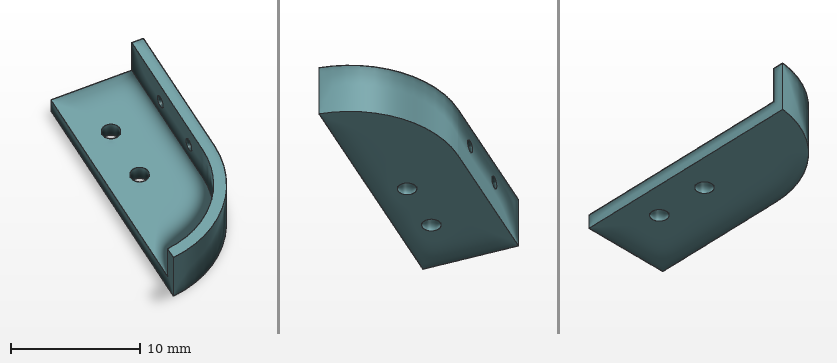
import cadquery as cq
import math

length = 21.5
width = 8.0
height = 4.5

floor_thickness = 1.3
wall_thickness = 1.0
straight_length = 12.5

first_hole_x = 5.0
hole_spacing = 5.0
hole_xs = [first_hole_x, first_hole_x + hole_spacing]
floor_hole_diameter = 1.5
floor_hole_y = 2.73
wall_hole_diameter = 1.0
wall_hole_z = 2.65

arc_run = length - straight_length
outer_radius = (arc_run**2 + width**2) / (2 * width)
arc_center_y = width - outer_radius


def plan_outline(radius, bottom_z):
    """Outline with a straight back edge and a rounded end of the given radius."""
    back_y = arc_center_y + radius
    end_angle = math.asin(-arc_center_y / radius)
    mid_angle = (end_angle + math.pi / 2) / 2
    arc_mid = (
        straight_length + radius * math.cos(mid_angle),
        arc_center_y + radius * math.sin(mid_angle),
    )
    arc_end = (straight_length + radius * math.cos(end_angle), 0)
    return (
        cq.Workplane("XY", origin=(0, 0, bottom_z))
        .moveTo(0, 0)
        .lineTo(0, back_y)
        .lineTo(straight_length, back_y)
        .threePointArc(arc_mid, arc_end)
        .close()
    )


def floor_holes():
    """Vertical cutters through the floor."""
    return (
        cq.Workplane("XY")
        .pushPoints([(x, floor_hole_y) for x in hole_xs])
        .circle(floor_hole_diameter / 2)
        .extrude(floor_thickness)
    )


def wall_holes():
    """Horizontal cutters through the straight back wall."""
    return (
        cq.Workplane("XZ", origin=(0, width, 0))
        .pushPoints([(x, wall_hole_z) for x in hole_xs])
        .circle(wall_hole_diameter / 2)
        .extrude(wall_thickness)
    )


body = plan_outline(outer_radius, 0).extrude(height)
recess = plan_outline(outer_radius - wall_thickness, floor_thickness).extrude(height - floor_thickness)

result = body.cut(recess).cut(floor_holes()).cut(wall_holes())